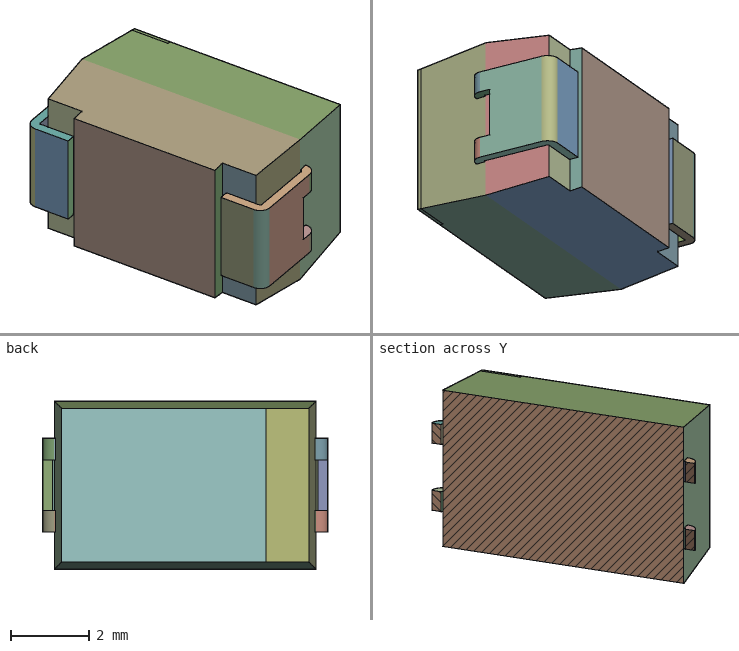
import cadquery as cq
import math

HOUSING_LENGTH = 6.695
HOUSING_HEIGHT = 4.3
HOUSING_DEPTH = 4.3
DRAFT_ANGLE = 5.0
PEDESTAL_LENGTH = 4.315
FOOT_RECESS_DEPTH = 0.35

BAND_LENGTH = 1.095
BAND_DEPTH = 0.095

OVERALL_LENGTH = 7.3
LEAD_THICKNESS = 0.255
LEAD_WIDTH = 2.4
BEND_RADIUS = 0.3
LEAD_TOP = 0.285
FOOT_END = 2.34
SLOT_WIDTH = 1.285
SLOT_BOTTOM = -0.3

HALF_DEPTH = HOUSING_DEPTH / 2
MOUNT_FACE = -HALF_DEPTH
MARKED_FACE = HALF_DEPTH
DRAFT_INSET = HALF_DEPTH * math.tan(math.radians(DRAFT_ANGLE))
BACK_HALF_LENGTH = HOUSING_LENGTH / 2 - DRAFT_INSET
BACK_HEIGHT = HOUSING_HEIGHT - 2 * DRAFT_INSET
LEAD_OUTER_X = OVERALL_LENGTH / 2
LEAD_INNER_X = LEAD_OUTER_X - LEAD_THICKNESS


def box_between(x_range, y_range, height):
    """Box with the given X and Y limits, centred on Z = 0."""
    length = x_range[1] - x_range[0]
    depth = y_range[1] - y_range[0]
    centre = (sum(x_range) / 2, sum(y_range) / 2, 0)
    return cq.Workplane("XY").box(length, depth, height).translate(centre)


def make_envelope():
    """Housing outline before the band and the foot recesses are cut."""
    back_half, front_half = [
        cq.Workplane("XZ")
        .rect(HOUSING_LENGTH, HOUSING_HEIGHT)
        .extrude(direction * HALF_DEPTH, taper=DRAFT_ANGLE)
        for direction in (-1, 1)
    ]
    return back_half.union(front_half)


def make_band():
    """Straight-sided polarity band that fills one end of the marked face."""
    return box_between(
        (-BACK_HALF_LENGTH, BAND_LENGTH - BACK_HALF_LENGTH),
        (MARKED_FACE - BAND_DEPTH, MARKED_FACE),
        BACK_HEIGHT,
    )


def make_housing(envelope, band):
    """Housing with a pocket for the band and a recess above each foot."""
    recess = box_between(
        (PEDESTAL_LENGTH / 2, HOUSING_LENGTH / 2),
        (MOUNT_FACE, MOUNT_FACE + FOOT_RECESS_DEPTH),
        HOUSING_HEIGHT,
    )
    return envelope.cut(band).cut(recess).cut(recess.mirror("YZ"))


def make_lead(envelope):
    """Lead on the +X end, with two prongs that stop against the housing."""
    prong_end_x = BACK_HALF_LENGTH
    outline = [
        (FOOT_END, MOUNT_FACE),
        (LEAD_OUTER_X, MOUNT_FACE),
        (LEAD_OUTER_X, LEAD_TOP),
        (prong_end_x, LEAD_TOP),
        (prong_end_x, LEAD_TOP - LEAD_THICKNESS),
        (LEAD_INNER_X, LEAD_TOP - LEAD_THICKNESS),
        (LEAD_INNER_X, MOUNT_FACE + LEAD_THICKNESS),
        (FOOT_END, MOUNT_FACE + LEAD_THICKNESS),
    ]
    sheet = (
        cq.Workplane("XY")
        .polyline(outline)
        .close()
        .extrude(LEAD_WIDTH / 2, both=True)
    )
    inner_radius = BEND_RADIUS - LEAD_THICKNESS
    sheet = sheet.edges("|Z and >X").fillet(BEND_RADIUS)
    inner_corners = cq.selectors.BoxSelector(
        (LEAD_INNER_X - inner_radius, MOUNT_FACE, -LEAD_WIDTH),
        (LEAD_INNER_X + inner_radius, LEAD_TOP, LEAD_WIDTH),
    )
    sheet = sheet.edges("|Z").edges(inner_corners).fillet(inner_radius)

    slot = box_between((prong_end_x, LEAD_OUTER_X), (SLOT_BOTTOM, LEAD_TOP), SLOT_WIDTH)
    prong_trim = envelope.intersect(
        box_between((0, LEAD_OUTER_X), (0, LEAD_TOP), HOUSING_HEIGHT)
    )
    return sheet.cut(slot).cut(prong_trim)


envelope = make_envelope()
band = make_band()
housing = make_housing(envelope, band)
leads = [make_lead(envelope).rotate((0, 0, 0), (0, 1, 0), angle) for angle in (0, 180)]

result = cq.Compound.makeCompound([housing.val(), band.val(), *[lead.val() for lead in leads]])